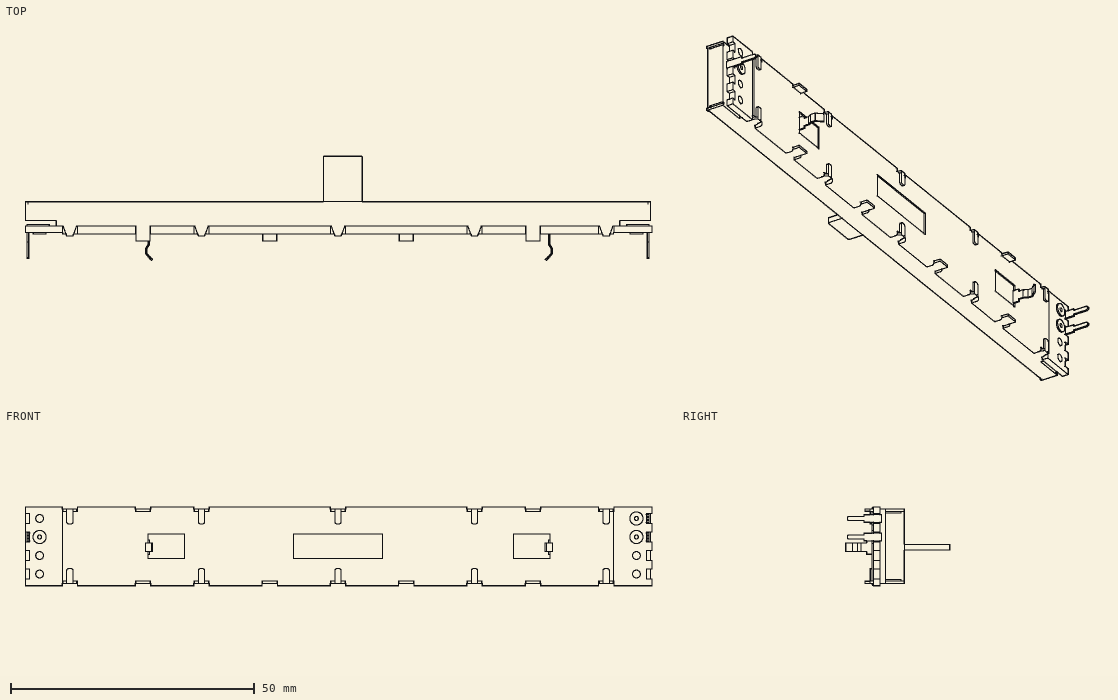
import cadquery as cq


can_length = 128.2
can_height = 15.3
sheet = 0.5
can_end_depth = 3.9
can_depth = 4.95
end_relief_length = 6.3
can_edge_radius = 0.5
corner_stub = 0.5
fold_gap = 0.35
fold_slit_start = 0.7

lever_width = 8.0
lever_thickness = 1.2
lever_reach = 9.35
lever_x = 1.0
lever_z = -0.2
lever_corner_radius = 0.3

board_length = 128.5
board_height = 16.2
board_thickness = 1.4
cover_thickness = 0.3
cover_length = 113.0
cover_edge_radius = 0.4
edge_notch_width = 3.1
can_half = can_length / 2
board_left = -can_half
board_right = board_left + board_length
board_front = can_depth + board_thickness
cover_front = board_front + cover_thickness
edge_notch_floor = can_height / 2 - sheet

window_height = 5.1
center_window_length = 18.3
hook_window_length = 7.5
left_window_edge = -39.0
right_window_edge = 43.5
hook_thickness = 0.3
hook_width = 1.8
hook_base_width = 2.9
hook_z = -0.2
hook_shoulder = 1.1
total_depth = 21.42
hook_tip = total_depth - lever_reach
bend_depth = cover_front + 2.2
knee_start = cover_front + 3.0
knee_end = cover_front + 4.0
hook_knee_offset = 0.5
hook_tip_offset = 1.0
hook_tip_rise = 0.2

crimp_positions = (-55, -28, 0, 28, 55)
paired_tab_positions = (-40, 40)
lower_tab_positions = (-14, 14)
tab_width = 2.9
tab_tip = 8.1
crimp_width = 1.3
crimp_root_width = 2.8
crimp_proud = 0.4
crimp_corner_radius = 0.4
crimp_inner_z = 4.6

terminal_pitch = 3.8
terminal_count = 4
terminal_rows = [(row - (terminal_count - 1) / 2) * terminal_pitch for row in range(terminal_count)]
terminal_x = 61.2
rivet_hole_diameter = 1.6
rivet_diameter = 2.7
rivet_proud = 0.3
rivet_bore = 0.8
slot_height = 2.0
slot_floor_x = 63.25
pin_inner_x = 63.4
pin_thickness = 0.4
pin_width = 1.6
pin_tip_width = 0.9
pin_shoulder = 8.3
pin_tip = 11.7
pin_tip_chamfer = 0.25
foot_thickness = 0.3
foot_length = 4.6
left_pin_rows = (terminal_rows[2],)
right_pin_rows = (terminal_rows[2], terminal_rows[3])


def block(x0, x1, depth0, depth1, z0, z1):
    """Box between two depths measured from the can face towards -Y."""
    size = (x1 - x0, depth1 - depth0, z1 - z0)
    return cq.Workplane("XY").box(*size, centered=False).translate((x0, -depth1, z0))


def disc(x, z, diameter, depth0, depth1):
    """Cylinder along Y between two depths."""
    plane = cq.Workplane("XZ", origin=(x, -depth0, z))
    return plane.circle(diameter / 2).extrude(depth1 - depth0)


def make_can():
    """Can with rolled edges, shallower ends and slits beside the end flaps."""
    half_height = can_height / 2
    can = block(-can_half, can_half, 0, can_end_depth, -half_height, half_height)
    can = can.faces(">Y").edges().fillet(can_edge_radius)
    for x in (-can_half, can_half - corner_stub):
        for z in (-half_height, half_height - corner_stub):
            can = can.union(block(x, x + corner_stub, 0, fold_slit_start, z, z + corner_stub))
    middle_half = can_half - end_relief_length
    middle = block(-middle_half, middle_half, can_edge_radius, can_depth, -half_height, half_height)
    can = can.union(middle)
    slit_top = half_height - sheet
    for x in (-can_half, can_half - sheet):
        for z in (-slit_top, slit_top - fold_gap):
            can = can.cut(block(x, x + sheet, fold_slit_start, can_end_depth, z, z + fold_gap))
    return can


def make_lever():
    """Flat slider lever reaching into the can."""
    left = lever_x - lever_width / 2
    half = lever_thickness / 2
    right = left + lever_width
    lever = block(left, right, -lever_reach, can_end_depth, lever_z - half, lever_z + half)
    return lever.edges(">Y and |Z").fillet(lever_corner_radius)


def make_board():
    """Terminal board with slots and rivet holes, its middle wrapped by the thicker cover."""
    half_height = board_height / 2
    half_cover = cover_length / 2
    board = block(board_left, board_right, can_depth, board_front, -half_height, half_height)
    cover = block(-half_cover, half_cover, can_depth, cover_front, -half_height, half_height)
    cover = cover.edges("<Y and |X").fillet(cover_edge_radius)
    middle = block(-half_cover, half_cover, can_depth, board_front, -half_height, half_height)
    board = board.cut(middle).union(cover)

    for z in terminal_rows:
        z0 = z - slot_height / 2
        z1 = z + slot_height / 2
        board = board.cut(block(board_left, -slot_floor_x, can_depth, board_front, z0, z1))
        board = board.cut(block(slot_floor_x, board_right, can_depth, board_front, z0, z1))
        for x in (-terminal_x, terminal_x):
            board = board.cut(disc(x, z, rivet_hole_diameter, can_depth, board_front))
    return board


def cut_edge_notches(board):
    """Clear the long edges where the can tabs pass."""
    both_edges = crimp_positions + paired_tab_positions
    places = [(x, side) for x in both_edges for side in (-1, 1)]
    places += [(x, -1) for x in lower_tab_positions]
    for x, side in places:
        z0, z1 = sorted((side * edge_notch_floor, side * board_height / 2))
        half = edge_notch_width / 2
        board = board.cut(block(x - half, x + half, can_depth, cover_front, z0, z1))
    return board


def cut_windows(board):
    """Open the centre window and the two hook windows in the cover."""
    windows = (
        (-center_window_length / 2, center_window_length / 2),
        (left_window_edge, left_window_edge + hook_window_length),
        (right_window_edge - hook_window_length, right_window_edge),
    )
    half = window_height / 2
    for x0, x1 in windows:
        board = board.cut(block(x0, x1, board_front, cover_front, -half, half))
    return board


def make_hook(edge_x, inward):
    """Bent strip rising from a window edge; inward is the X direction into the window."""
    knee = -hook_knee_offset * inward
    tip = hook_tip_offset * inward
    strip = hook_thickness * inward
    outline = [
        (edge_x, -board_front),
        (edge_x, -bend_depth),
        (edge_x + knee, -knee_start),
        (edge_x + knee, -knee_end),
        (edge_x + tip - strip, -hook_tip),
        (edge_x + tip, -hook_tip + hook_tip_rise),
        (edge_x + knee + strip, -knee_end),
        (edge_x + knee + strip, -knee_start),
        (edge_x + strip, -bend_depth),
        (edge_x + strip, -board_front),
    ]
    hook = cq.Workplane("XY", origin=(0, 0, hook_z))
    hook = hook.polyline(outline).close().extrude(hook_width / 2, both=True)
    x0, x1 = sorted((edge_x, edge_x + strip))
    half = hook_base_width / 2
    root = block(x0, x1, board_front, cover_front + hook_shoulder, hook_z - half, hook_z + half)
    return hook.union(root)


def make_straight_tab(x, side):
    """Unbent tab standing past the cover."""
    z0, z1 = sorted((side * edge_notch_floor, side * can_height / 2))
    return block(x - tab_width / 2, x + tab_width / 2, can_depth, tab_tip, z0, z1)


def make_crimp_tab(x, side):
    """Tapered tab with its tongue folded flat over the cover."""
    outer_depth = cover_front + crimp_proud
    outline = [
        (x - crimp_root_width / 2, -can_depth),
        (x + crimp_root_width / 2, -can_depth),
        (x + crimp_width / 2, -outer_depth),
        (x - crimp_width / 2, -outer_depth),
    ]
    root = cq.Workplane("XY", origin=(0, 0, side * edge_notch_floor))
    root = root.polyline(outline).close().extrude(side * sheet)
    z0, z1 = sorted((side * crimp_inner_z, side * edge_notch_floor))
    tongue = block(x - crimp_width / 2, x + crimp_width / 2, cover_front, outer_depth, z0, z1)
    inner_end = "<Z" if side > 0 else ">Z"
    tongue = tongue.faces(inner_end).edges("|Y").fillet(crimp_corner_radius)
    return root.union(tongue)


def make_terminal(side, z):
    """Flat foot behind the board, pin through the edge slot and rivet on the front."""
    half = pin_width / 2
    half_tip = pin_tip_width / 2
    foot_back = can_depth - foot_thickness
    outer_x = pin_inner_x + pin_thickness
    foot = block(outer_x - foot_length, outer_x, foot_back, can_depth, z - half, z + half)
    pin = block(pin_inner_x, outer_x, foot_back, pin_shoulder, z - half, z + half)
    tip = block(pin_inner_x, outer_x, pin_shoulder, pin_tip, z - half_tip, z + half_tip)
    tip = tip.edges("<Y and |X").chamfer(pin_tip_chamfer)
    rivet = disc(terminal_x, z, rivet_diameter, board_front, board_front + rivet_proud)
    shank = disc(terminal_x, z, rivet_hole_diameter, can_depth, board_front)
    bore = disc(terminal_x, z, rivet_bore, can_depth, board_front + rivet_proud)
    terminal = foot.union(pin).union(tip).union(shank).union(rivet).cut(bore)
    return terminal if side > 0 else terminal.mirror("YZ")


board = cut_windows(cut_edge_notches(make_board()))
result = make_can().union(make_lever()).union(board)
result = result.union(make_hook(left_window_edge, 1))
result = result.union(make_hook(right_window_edge, -1))
for edge_side in (-1, 1):
    for tab_x in crimp_positions:
        result = result.union(make_crimp_tab(tab_x, edge_side))
    for tab_x in paired_tab_positions:
        result = result.union(make_straight_tab(tab_x, edge_side))
for tab_x in lower_tab_positions:
    result = result.union(make_straight_tab(tab_x, -1))
for row_z in left_pin_rows:
    result = result.union(make_terminal(-1, row_z))
for row_z in right_pin_rows:
    result = result.union(make_terminal(1, row_z))